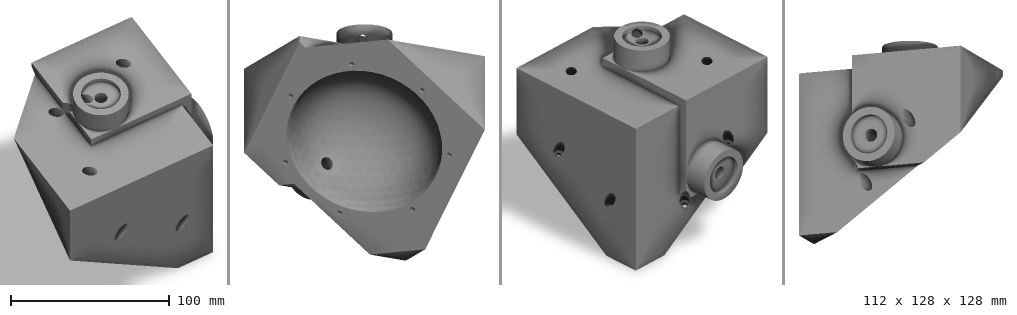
import cadquery as cq
import math

part_width = 112.0
body_shoulder = 49.0
port_diameter = 35.1
port_height = 16.0
port_recess_diameter = 25.1
port_recess_depth = 3.8
port_bore_diameter = 8.3
sphere_radius = 50.0

screw_count = 7
screw_circle_radius = 54.8
screw_first_angle = 93.2
screw_diameter = 3.2
screw_head_diameter = 7.0
flange_thickness = 5.0

half_width = part_width / 2
port_radius = port_diameter / 2
port_top = half_width + port_height
reach = 4 * half_width

parting_plane = cq.Plane(
    origin=(0, 0, 0), xDir=(-1, 1, 0), normal=(1, 1, math.sqrt(2))
)


def box_between(low, high):
    """Axis-aligned box spanning two opposite corners."""
    size = [end - start for start, end in zip(low, high)]
    return cq.Workplane("XY").box(*size, centered=False).translate(low)


def port_cylinder(axis, diameter, start, end):
    """Cylinder about the +Y or +Z axis between two distances from the centre."""
    direction = cq.Vector(*axis)
    return cq.Workplane(
        cq.Solid.makeCylinder(diameter / 2, end - start, direction * start, direction)
    )


def screw_holes(diameter, start):
    """Ring of holes normal to the parting face, from a given depth outward."""
    return (
        cq.Workplane(parting_plane)
        .workplane(offset=start)
        .polarArray(screw_circle_radius, screw_first_angle, 360, screw_count)
        .circle(diameter / 2)
        .extrude(reach)
    )


body = box_between(
    (-half_width, -half_width, -half_width),
    (half_width, body_shoulder, body_shoulder),
)
port_block = box_between(
    (-half_width, -port_radius, -port_radius),
    (port_radius, half_width, half_width),
)
result = body.union(port_block)

kept_half = cq.Workplane(parting_plane).rect(reach, reach).extrude(reach)
result = result.intersect(kept_half)

port_axes = [(0, 1, 0), (0, 0, 1)]
for axis in port_axes:
    result = result.union(port_cylinder(axis, port_diameter, half_width, port_top))

result = result.cut(cq.Workplane("XY").sphere(sphere_radius))

for axis in port_axes:
    recess_floor = port_top - port_recess_depth
    result = result.cut(port_cylinder(axis, port_recess_diameter, recess_floor, port_top))
    result = result.cut(port_cylinder(axis, port_bore_diameter, 0, port_top))

result = result.cut(screw_holes(screw_diameter, 0))
result = result.cut(screw_holes(screw_head_diameter, flange_thickness))